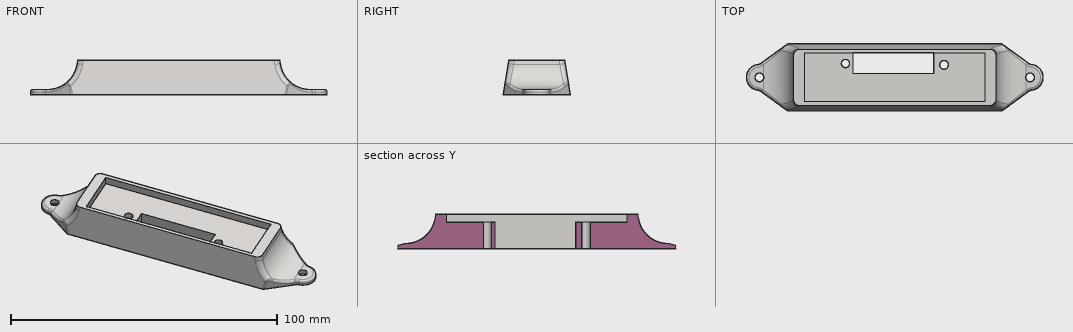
import cadquery as cq
import math

height = 13.05
base_width = 25.34
draft_angle = 9.27

ear_hole_x = 50.8
ear_radius = 4.915
ear_thickness = 2.0
ear_hole_diameter = 3.2
neck_radius = 2.0

shoulder_x = 40.1
top_length = 75.9
scoop_radius = 11.2
body_corner_radius = 2.2
ear_edge_radius = 1.0

pocket_length = 67.6
pocket_width = 18.2
pocket_depth = 3.0
pocket_center_y = 0.1

window_x_min = -15.6
window_x_max = 14.6
window_y_min = 1.5
window_y_max = pocket_center_y + pocket_width / 2

floor_holes = [(-18.5, 5.2, 3.0), (18.5, 4.7, 3.2)]

draft = math.radians(draft_angle)
draft_slope = math.tan(draft)
half_length = ear_hole_x + ear_radius
half_width = base_width / 2
half_top_width = half_width - height * draft_slope
half_top_length = top_length / 2

scoop_center_z = ear_thickness + scoop_radius
arc_end_z = scoop_center_z - scoop_radius * math.sin(draft)
arc_end_x = half_top_length + (height - arc_end_z) * draft_slope
scoop_center_x = arc_end_x + scoop_radius * math.cos(draft)


def tapered_section():
    """Trapezoid bar: the long sides lean inward toward the top."""
    return (
        cq.Workplane("YZ")
        .polyline(
            [
                (-half_width, 0),
                (half_width, 0),
                (half_top_width, height),
                (-half_top_width, height),
            ]
        )
        .close()
        .extrude(half_length, both=True)
    )


def scooped_profile():
    """Side profile: flat ears sweeping up through a hollow arc to the end walls."""
    middle_angle = math.radians((draft_angle + 90) / 2)
    arc_middle_x = scoop_center_x - scoop_radius * math.cos(middle_angle)
    arc_middle_z = scoop_center_z - scoop_radius * math.sin(middle_angle)
    return (
        cq.Workplane("XZ")
        .moveTo(-half_length, 0)
        .lineTo(half_length, 0)
        .lineTo(half_length, ear_thickness)
        .lineTo(scoop_center_x, ear_thickness)
        .threePointArc((arc_middle_x, arc_middle_z), (arc_end_x, arc_end_z))
        .lineTo(half_top_length, height)
        .lineTo(-half_top_length, height)
        .lineTo(-arc_end_x, arc_end_z)
        .threePointArc((-arc_middle_x, arc_middle_z), (-scoop_center_x, ear_thickness))
        .lineTo(-half_length, ear_thickness)
        .close()
        .extrude(half_width, both=True)
    )


def plan_outline():
    """Outline from above: straight sides narrowing to a round ear at each end."""
    outline = (
        cq.Workplane("XY")
        .moveTo(-shoulder_x, half_width)
        .lineTo(shoulder_x, half_width)
        .lineTo(ear_hole_x, ear_radius)
        .threePointArc((half_length, 0), (ear_hole_x, -ear_radius))
        .lineTo(shoulder_x, -half_width)
        .lineTo(-shoulder_x, -half_width)
        .lineTo(-ear_hole_x, -ear_radius)
        .threePointArc((-half_length, 0), (-ear_hole_x, ear_radius))
        .close()
        .extrude(height)
    )
    necks = outline.newObject([])
    for side_x in (-1, 1):
        for side_y in (-1, 1):
            neck = cq.selectors.NearestToPointSelector((side_x * ear_hole_x, side_y * ear_radius, height / 2))
            necks = necks.add(outline.edges(neck))
    return necks.fillet(neck_radius)


def round_body_corners(part):
    """Round the four corners of the end walls, on down along the rims of the scoops."""
    mid_wall_z = (height + arc_end_z) / 2
    mid_wall_drop = height - mid_wall_z
    corner_x = half_top_length + mid_wall_drop * draft_slope
    corner_y = half_top_width + mid_wall_drop * draft_slope
    corners = part.newObject([])
    for side_x in (-1, 1):
        for side_y in (-1, 1):
            corner = cq.selectors.NearestToPointSelector((side_x * corner_x, side_y * corner_y, mid_wall_z))
            corners = corners.add(part.edges(corner))
    return corners.fillet(body_corner_radius)


def round_ear_rims(part):
    """Round the top rim of both ears; the rounding runs on to the shoulders."""
    ear_tips = part.newObject([])
    for side_x in (-1, 1):
        tip = cq.selectors.NearestToPointSelector((side_x * half_length, 0, ear_thickness))
        ear_tips = ear_tips.add(part.edges(tip))
    return ear_tips.fillet(ear_edge_radius)


def pocket():
    """Shallow rectangular recess in the top face."""
    return (
        cq.Workplane("XY", origin=(0, pocket_center_y, height - pocket_depth))
        .rect(pocket_length, pocket_width)
        .extrude(pocket_depth)
    )


def window():
    """Rectangular opening through the full height."""
    return (
        cq.Workplane("XY")
        .center((window_x_min + window_x_max) / 2, (window_y_min + window_y_max) / 2)
        .rect(window_x_max - window_x_min, window_y_max - window_y_min)
        .extrude(height)
    )


def through_hole(x, y, diameter):
    """Round vertical hole through the full height."""
    return cq.Workplane("XY").center(x, y).circle(diameter / 2).extrude(height)


body = plan_outline().intersect(tapered_section()).intersect(scooped_profile())
body = round_body_corners(body)
body = round_ear_rims(body)
body = body.cut(pocket()).cut(window())
for hole_x, hole_y, hole_diameter in floor_holes:
    body = body.cut(through_hole(hole_x, hole_y, hole_diameter))
for ear_x in (-ear_hole_x, ear_hole_x):
    body = body.cut(through_hole(ear_x, 0, ear_hole_diameter))

result = body